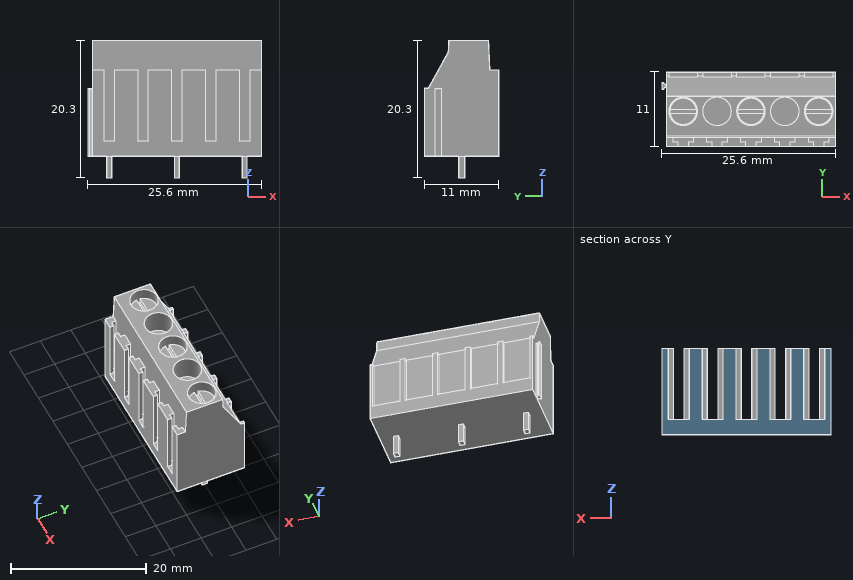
import cadquery as cq


pitch = 5.0
pole_count = 5
length = pole_count * pitch
pole_centers = [(index + 0.5) * pitch for index in range(pole_count)]
fitted_poles = pole_centers[::2]

depth = 11.0
height = 17.12
front_ledge_height = 12.8
front_wall_foot = 1.34
front_wall_top = 1.53
back_wall_top = 7.42
back_wall_foot = 7.5
slope_top_height = 15.4
slope_foot = 10.42
back_ledge_height = 10.1

groove_floor = 2.29
groove_neck_width = 1.53
groove_head_width = 3.05
groove_lip = 0.66

recess_width = 4.2
recess_depth = 0.7
recess_floor = groove_floor

rib_height = 10.0
rib_center = 8.95
rib_reach = 0.65
rib_flat_reach = 0.42
rib_neck_reach = 0.17
rib_head_width = 1.0
rib_neck_width = 0.4

well_diameter = 4.2
well_center = 5.2
well_depth = 4.0
screw_diameter = 3.9
screw_sink = 1.8
driver_slot_width = 0.58
driver_slot_depth = 0.8
well_floor = height - well_depth
screw_top = height - screw_sink

pin_width = 0.76
pin_thickness = 0.9
pin_length = 3.2
pin_center = depth / 2


def make_body():
    """Side profile of the housing, extruded along the row of poles."""
    return (
        cq.Workplane("YZ")
        .moveTo(0, 0)
        .lineTo(0, front_ledge_height)
        .lineTo(front_wall_foot, front_ledge_height)
        .lineTo(front_wall_top, height)
        .lineTo(back_wall_top, height)
        .lineTo(back_wall_foot, slope_top_height)
        .lineTo(slope_foot, back_ledge_height)
        .lineTo(depth, back_ledge_height)
        .lineTo(depth, 0)
        .close()
        .extrude(length)
    )


def make_rib():
    """Dovetail rib standing out from the left end face."""
    half_head = rib_head_width / 2
    half_neck = rib_neck_width / 2
    return (
        cq.Workplane("XY")
        .moveTo(0, rib_center - half_neck)
        .lineTo(-rib_neck_reach, rib_center - half_neck)
        .lineTo(-rib_flat_reach, rib_center - half_head)
        .lineTo(-rib_reach, rib_center - half_head)
        .lineTo(-rib_reach, rib_center + half_head)
        .lineTo(-rib_flat_reach, rib_center + half_head)
        .lineTo(-rib_neck_reach, rib_center + half_neck)
        .lineTo(0, rib_center + half_neck)
        .close()
        .extrude(rib_height)
    )


def upright_cut(x_center, width, y_start, y_end, z_start, z_end):
    """Box centred on x_center, spanning the given Y and Z ranges."""
    return (
        cq.Workplane("XY")
        .box(width, y_end - y_start, z_end - z_start, centered=(True, False, False))
        .translate((x_center, y_start, z_start))
    )


def make_groove(x_center):
    """T-shaped groove, open at the front face and at the front ledge."""
    neck = upright_cut(x_center, groove_neck_width, 0, groove_lip, groove_floor, front_ledge_height)
    head = upright_cut(
        x_center, groove_head_width, groove_lip, front_wall_foot, groove_floor, front_ledge_height
    )
    return neck.union(head)


def make_recess(x_center):
    """Wire entry recess, open at the back face and at the back ledge."""
    return upright_cut(x_center, recess_width, depth - recess_depth, depth, recess_floor, slope_top_height)


def make_well(x_center):
    """Round well sunk from the top face."""
    return (
        cq.Workplane("XY", origin=(x_center, well_center, well_floor))
        .circle(well_diameter / 2)
        .extrude(well_depth)
    )


def make_housing():
    housing = make_body().union(make_rib())
    for x_center in pole_centers:
        housing = housing.cut(make_groove(x_center))
        housing = housing.cut(make_recess(x_center))
        housing = housing.cut(make_well(x_center))
    return housing


def make_screw(x_center):
    """Slotted screw standing on the floor of its well."""
    screw = (
        cq.Workplane("XY", origin=(x_center, well_center, well_floor))
        .circle(screw_diameter / 2)
        .extrude(screw_top - well_floor)
    )
    driver_slot = upright_cut(
        x_center,
        screw_diameter,
        well_center - driver_slot_width / 2,
        well_center + driver_slot_width / 2,
        screw_top - driver_slot_depth,
        screw_top,
    )
    return screw.cut(driver_slot)


def make_pin(x_center):
    """Solder pin hanging from the underside of the housing."""
    return (
        cq.Workplane("XY", origin=(x_center, pin_center, -pin_length))
        .rect(pin_width, pin_thickness)
        .extrude(pin_length)
    )


housing = make_housing()
screws = [make_screw(x_center) for x_center in fitted_poles]
pins = [make_pin(x_center) for x_center in fitted_poles]

result = cq.Compound.makeCompound(
    [
        housing.val(),
        *[screw.val() for screw in screws],
        *[pin.val() for pin in pins],
    ]
)